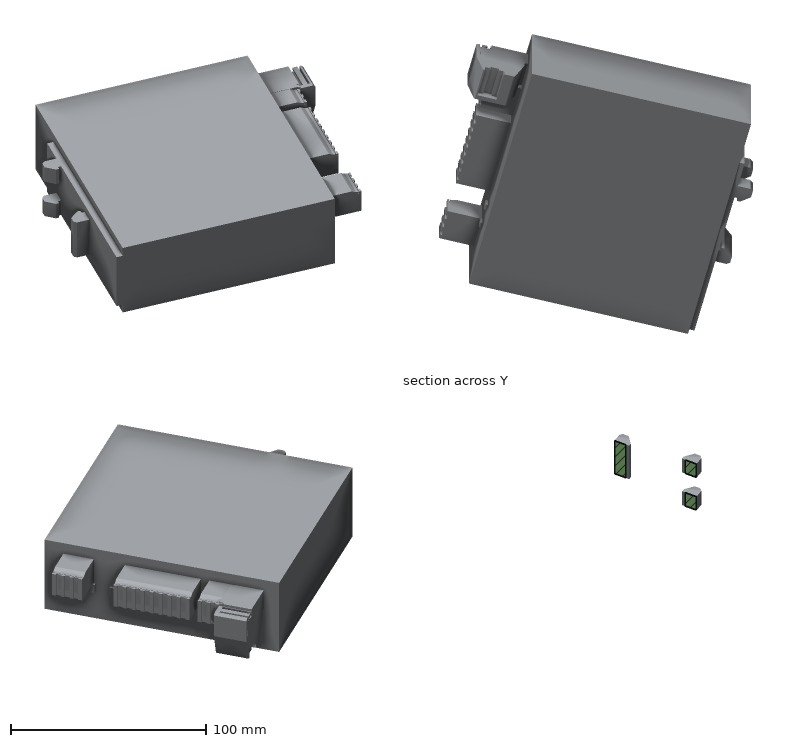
import cadquery as cq

overall_y = 154.9

body_x = 127.0
body_y = 116.0
body_z = 42.0

plate_left = 26.0
plate_thick = 3.4
plate_z = 31.8
plate_bottom = (body_z - plate_z) / 2

hook_reach = 11.6
hook_stem = 6.8
hook_barb = 1.7
barb_start = 5.1
barb_end = 6.8
tip_flat_end = 4.6
tip_chamfer_x = 1.2
tip_chamfer_y = 1.5
hook_span = 48.0
hook_centre_x = body_x / 2
small_hook_z = 9.5
large_hook_z = 22.8

plug_left = 8.4
plug_right = 26.0
plug_reach = overall_y - body_y - hook_reach
plug_top = 35.8
plug_step_y = 19.2
plug_step_z = 34.4
plug_top_chamfer = 1.1
plug_knee_z = 20.8
plug_bottom = 8.4
plug_bottom_inner_y = 7.0
plug_bottom_outer_y = 23.9
plug_round = 0.8
plug_foot_y = 1.9
plug_foot_z = 22.2
plug_heel_z = 25.2
plug_heel_rise = 0.6
notch_x = 2.3
notch_y = 1.1
notch_depth = 0.5
notch_starts = [0, 18.0]
recess_floor_z = 31.8
recess_depth = 15.3
slot_start = 24.0
slot_end = 25.2
slit_start = 25.1
slit_width = 0.3
slit_bottom = 23.7
slit_top = 26.5

dovetail_neck_start = 19.7
dovetail_neck_end = 21.4
dovetail_base_end = 22.3
dovetail_neck_z = 33.1
dovetail_base_z = 32.5

pocket_outer_y = 22.6
pocket_inner_y = 12.9
pocket_bulge_y = 12.0
pocket_mouth_y = 12.5
pocket_bulge_z = 9.9
pocket_shelf_z = 11.3
pocket_roof_z = 12.9
pocket_roof_start = 15.3
pocket_roof_end = 19.7

pole_pitch = 5.0
connector_margin = 1.5
connector_top = 35.6
connector_bottom = 21.7
bevel_start = 13.2
bevel_end = 15.5
bevel_drop = 1.16
groove_start = 16.9
groove_end = 17.2
groove_depth = 1.4
lip_end = 17.7
rib_reach = 18.5
rib_width = 2.2
connectors = [(21.4, 3), (42.3, 8), (100.4, 3)]

window_lefts = [88.6, 99.5]
window_x = 3.0
window_z = 5.0
window_bottom = 16.0
window_reach = 1.2


def block(x, y, z, size_x, size_y, size_z):
    """Box with its lowest corner at (x, y, z)."""
    return cq.Workplane("XY").box(size_x, size_y, size_z, centered=False).translate((x, y, z))


def rear_prism(points, x_start, x_end):
    """Extrude along X an outline of (distance behind the rear face, height) points."""
    outline = cq.Workplane("YZ").polyline(points).close()
    return outline.extrude(x_end - x_start).translate((x_start, body_y, 0))


def rear_slot(y_start, y_end, z_start, z_end):
    """Rectangular recess in the left end of the plug."""
    points = [(y_start, z_start), (y_end, z_start), (y_end, z_end), (y_start, z_end)]
    return rear_prism(points, plug_left, plug_left + recess_depth)


def hook(bottom, height, barb_side):
    """Rail hook whose barb points to +X (barb_side 1) or -X (barb_side -1)."""
    back_x = hook_centre_x - barb_side * hook_span / 2
    profile = [
        (0, 0),
        (0, hook_reach - tip_chamfer_y),
        (tip_chamfer_x, hook_reach),
        (tip_flat_end, hook_reach),
        (hook_stem + hook_barb, barb_end),
        (hook_stem + hook_barb, barb_start),
        (hook_stem, barb_start),
        (hook_stem, 0),
    ]
    points = [(back_x + barb_side * x, -y) for x, y in profile]
    return cq.Workplane("XY").polyline(points).close().extrude(height).translate((0, 0, bottom))


def plug():
    """Plug with tapered underside and recesses open to its left end."""
    solid = rear_prism(
        [
            (0, plug_top),
            (plug_step_y, plug_top),
            (plug_step_y, plug_step_z),
            (plug_reach - plug_top_chamfer, plug_step_z),
            (plug_reach, plug_step_z - plug_top_chamfer),
            (plug_reach, plug_knee_z),
            (plug_bottom_outer_y, plug_bottom),
            (plug_bottom_inner_y, plug_bottom),
            (plug_foot_y, plug_foot_z),
            (plug_foot_y, plug_heel_z - plug_heel_rise),
            (0, plug_heel_z),
        ],
        plug_left,
        plug_right,
    )
    solid = solid.faces("<Z").edges("|X").fillet(plug_round)

    dovetail = rear_prism(
        [
            (dovetail_neck_start, plug_step_z),
            (dovetail_neck_start, dovetail_neck_z),
            (plug_step_y, dovetail_base_z),
            (plug_step_y, recess_floor_z),
            (dovetail_base_end, recess_floor_z),
            (dovetail_base_end, dovetail_base_z),
            (dovetail_neck_end, dovetail_neck_z),
            (dovetail_neck_end, plug_step_z),
        ],
        plug_left,
        plug_left + recess_depth,
    )
    solid = solid.cut(dovetail)
    solid = solid.cut(rear_slot(slot_start, slot_end, recess_floor_z, plug_step_z))

    for notch_start in notch_starts:
        notch = block(
            plug_right - notch_x,
            body_y + notch_start,
            plug_top - notch_depth,
            notch_x,
            notch_y,
            notch_depth,
        )
        solid = solid.cut(notch)

    solid = solid.cut(rear_slot(slit_start, slit_start + slit_width, slit_bottom, slit_top))

    pocket = rear_prism(
        [
            (pocket_outer_y, plug_bottom),
            (pocket_outer_y, pocket_shelf_z),
            (pocket_roof_end, pocket_shelf_z),
            (pocket_roof_end, pocket_roof_z),
            (pocket_roof_start, pocket_roof_z),
            (pocket_roof_start, pocket_shelf_z),
            (pocket_inner_y, pocket_shelf_z),
            (pocket_bulge_y, pocket_bulge_z),
            (pocket_mouth_y, plug_bottom),
        ],
        plug_left,
        plug_left + recess_depth,
    )
    return solid.cut(pocket)


def connector(left, poles):
    """Terminal block with a bevelled top, a groove, a rear lip and ribs between the poles."""
    length = poles * pole_pitch + connector_margin
    ledge_z = connector_top - bevel_drop
    solid = rear_prism(
        [
            (0, connector_bottom),
            (lip_end, connector_bottom),
            (lip_end, ledge_z),
            (groove_end, ledge_z),
            (groove_end, ledge_z - groove_depth),
            (groove_start, ledge_z - groove_depth),
            (groove_start, ledge_z),
            (bevel_end, ledge_z),
            (bevel_start, connector_top),
            (0, connector_top),
        ],
        left,
        left + length,
    )
    rib_spacing = (length - rib_width) / poles
    for index in range(poles + 1):
        rib = block(
            left + index * rib_spacing,
            body_y + lip_end,
            connector_bottom,
            rib_width,
            rib_reach - lip_end,
            ledge_z - connector_bottom,
        )
        solid = solid.union(rib)
    return solid


result = block(0, 0, 0, body_x, body_y, body_z)
result = result.union(
    block(plate_left, -plate_thick, plate_bottom, body_x - plate_left, plate_thick, plate_z)
)

result = result.union(hook(plate_bottom, small_hook_z, 1))
result = result.union(hook(plate_bottom + plate_z - small_hook_z, small_hook_z, 1))
result = result.union(hook((body_z - large_hook_z) / 2, large_hook_z, -1))

result = result.union(plug())
for connector_left, pole_count in connectors:
    result = result.union(connector(connector_left, pole_count))
for window_left in window_lefts:
    result = result.union(
        block(window_left, body_y, window_bottom, window_x, window_reach, window_z)
    )